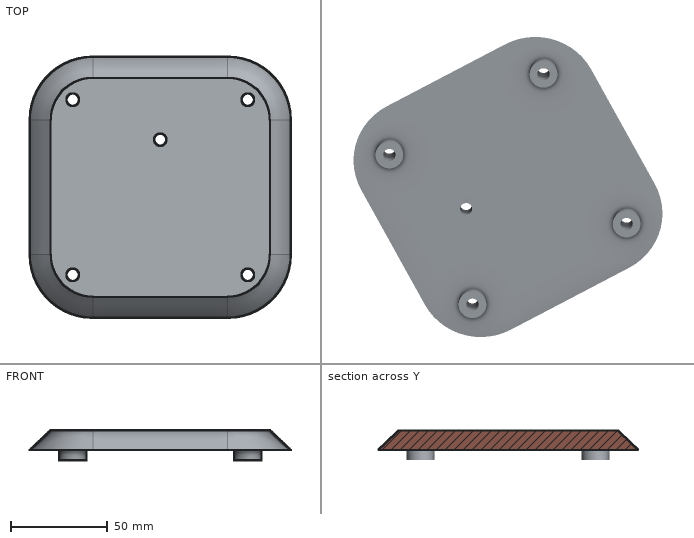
import cadquery as cq

base_side = 136.0
base_corner_radius = 33.0
plate_height = 10.5
bevel_inset = 11.0
top_side = base_side - 2 * bevel_inset
top_corner_radius = base_corner_radius - bevel_inset

total_height = 15.8
boss_drop = total_height - plate_height
boss_diameter = 14.4
boss_hole_diameter = 6.4
boss_spacing = 91.1

plate_hole_diameter = 6.3
plate_hole_y = 24.8


def rounded_square(side, corner_radius):
    """Sketch of a square with rounded corners."""
    return cq.Sketch().rect(side, side).vertices().fillet(corner_radius)


def bevelled_plate():
    """Plate whose sides slope inward all the way round."""
    bottom_outline = rounded_square(base_side, base_corner_radius)
    top_position = cq.Location(cq.Vector(0, 0, plate_height))
    top_outline = rounded_square(top_side, top_corner_radius).moved(top_position)
    return cq.Workplane("XY").placeSketch(bottom_outline, top_outline).loft(ruled=True)


def at_boss_centres(height):
    """Workplane at the given height with a point at each boss centre."""
    plane = cq.Workplane("XY").workplane(offset=height)
    return plane.rect(boss_spacing, boss_spacing, forConstruction=True).vertices()


bosses = at_boss_centres(-boss_drop).circle(boss_diameter / 2).extrude(total_height)
boss_holes = at_boss_centres(-boss_drop).circle(boss_hole_diameter / 2).extrude(total_height)
plate_hole = cq.Workplane("XY").center(0, plate_hole_y).circle(plate_hole_diameter / 2).extrude(plate_height)

result = bevelled_plate().union(bosses).cut(boss_holes).cut(plate_hole)